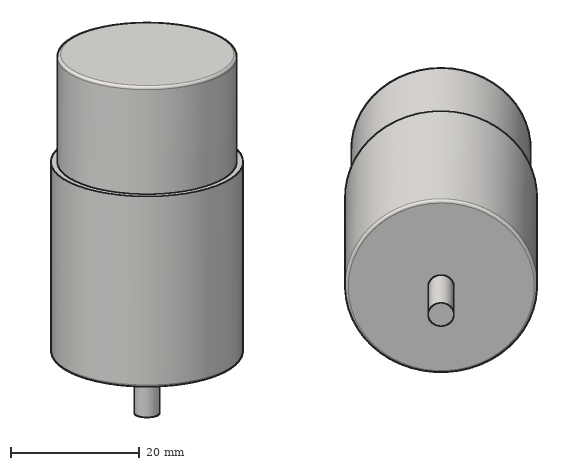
import cadquery as cq

total_height = 60.0
body_diameter = 30.0
cap_diameter = 28.0
cap_height = 18.0
shaft_diameter = 4.0
shaft_length = 10.0
edge_radius = 0.5

body_height = total_height - cap_height - shaft_length

body = (
    cq.Workplane("XY")
    .circle(body_diameter / 2)
    .extrude(body_height)
    .faces("<Z")
    .edges()
    .fillet(edge_radius)
)

cap = (
    cq.Workplane("XY", origin=(0, 0, body_height))
    .circle(cap_diameter / 2)
    .extrude(cap_height)
    .faces(">Z")
    .edges()
    .fillet(edge_radius)
)

shaft = cq.Workplane("XY").circle(shaft_diameter / 2).extrude(-shaft_length)

result = body.union(cap).union(shaft)